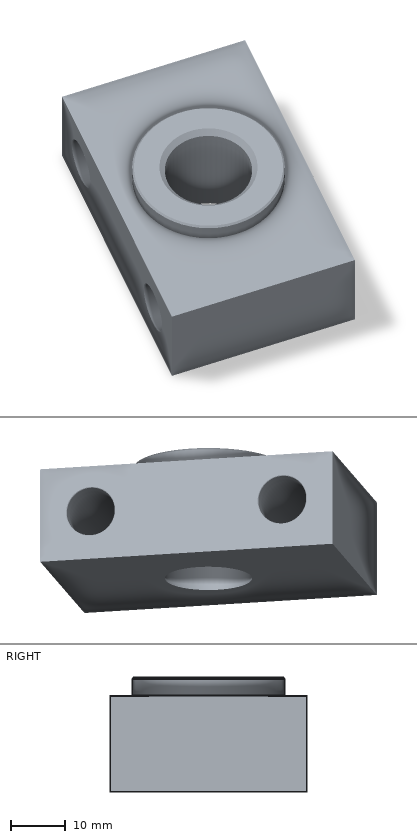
import cadquery as cq

length = 55.0
width = 36.0
total_height = 21.0
block_height = 17.6

flange_diameter = 28.0
flange_chamfer = 0.35
neck_diameter = 22.0
neck_height = 0.1
flange_base = block_height + neck_height
bore_diameter = 16.0
bore_chamfer = 1.0

cross_hole_diameter = 9.0
cross_hole_chamfer = 0.1
cross_hole_spacing = 36.0
cross_hole_height = 9.0


def cylinder(diameter, bottom, top):
    """Upright cylinder on the Z axis."""
    return cq.Workplane("XY").workplane(offset=bottom).circle(diameter / 2).extrude(top - bottom)


def cross_hole(x):
    """Cutter for one hole through the width, flared at both mouths."""
    radius = cross_hole_diameter / 2
    mouth_radius = radius + cross_hole_chamfer
    half_width = width / 2
    flare_start = half_width - cross_hole_chamfer
    profile = [
        (0, -half_width),
        (mouth_radius, -half_width),
        (radius, -flare_start),
        (radius, flare_start),
        (mouth_radius, half_width),
        (0, half_width),
    ]
    cutter = cq.Workplane("XY").polyline(profile).close().revolve(360, (0, 0, 0), (0, 1, 0))
    return cutter.translate((x, 0, cross_hole_height))


block = cq.Workplane("XY").box(length, width, block_height, centered=(True, True, False))
neck = cylinder(neck_diameter, block_height, flange_base)
flange = cylinder(flange_diameter, flange_base, total_height).faces(">Z").chamfer(flange_chamfer)
body = block.union(neck).union(flange)

bore = cylinder(bore_diameter, 0, total_height)
lead_in = cq.Workplane("XY").add(
    cq.Solid.makeCone(
        bore_diameter / 2,
        bore_diameter / 2 + bore_chamfer,
        bore_chamfer,
        pnt=cq.Vector(0, 0, total_height - bore_chamfer),
    )
)
body = body.cut(bore).cut(lead_in)

for side in (-1, 1):
    body = body.cut(cross_hole(side * cross_hole_spacing / 2))

result = body